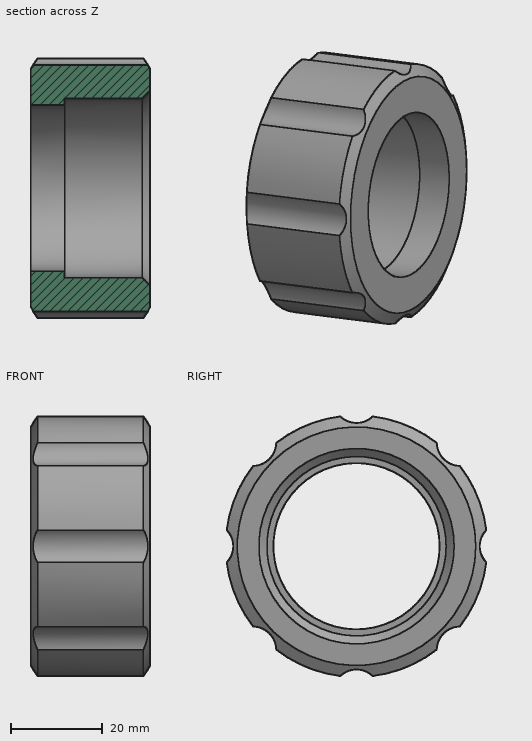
import cadquery as cq
import math

width = 26.0
outer_diameter = 57.0
chamfer_width = 1.45
chamfer_angle = 30.0

small_bore_diameter = 36.1
large_bore_diameter = 39.0
small_bore_depth = 7.35
bore_chamfer = 1.75

flute_count = 8
flute_radius = 5.1
flute_floor_radius = 26.85

outer_radius = outer_diameter / 2
chamfer_height = chamfer_width / math.tan(math.radians(chamfer_angle))
left_face = -width / 2
right_face = width / 2


def cylinder_along_x(start, end, radius):
    return cq.Workplane("YZ").workplane(offset=start).circle(radius).extrude(end - start)


def chamfered_blank():
    """Solid disc with the same conical chamfer at both ends."""
    face_radius = outer_radius - chamfer_height
    half_section = (
        cq.Workplane("XY")
        .moveTo(left_face, 0)
        .lineTo(left_face, face_radius)
        .lineTo(left_face + chamfer_width, outer_radius)
        .lineTo(right_face - chamfer_width, outer_radius)
        .lineTo(right_face, face_radius)
        .lineTo(right_face, 0)
        .close()
    )
    return half_section.revolve(360, (0, 0, 0), (1, 0, 0))


def flutes():
    """Round grip grooves running the full width, evenly spaced around the rim."""
    return (
        cq.Workplane("YZ")
        .workplane(offset=left_face)
        .polarArray(flute_floor_radius + flute_radius, 0, 360, flute_count)
        .circle(flute_radius)
        .extrude(width)
    )


def stepped_bore():
    """Through bore that widens behind the -X lip."""
    step = left_face + small_bore_depth
    small_bore = cylinder_along_x(left_face, step, small_bore_diameter / 2)
    large_bore = cylinder_along_x(step, right_face, large_bore_diameter / 2)
    return small_bore.union(large_bore)


def bore_mouth_chamfer():
    """Conical lead-in at the +X end of the large bore."""
    mouth_radius = large_bore_diameter / 2 + bore_chamfer
    return (
        cq.Workplane("YZ")
        .workplane(offset=right_face)
        .circle(mouth_radius)
        .workplane(offset=-bore_chamfer)
        .circle(large_bore_diameter / 2)
        .loft(ruled=True)
    )


result = chamfered_blank().cut(flutes()).cut(stepped_bore()).cut(bore_mouth_chamfer())